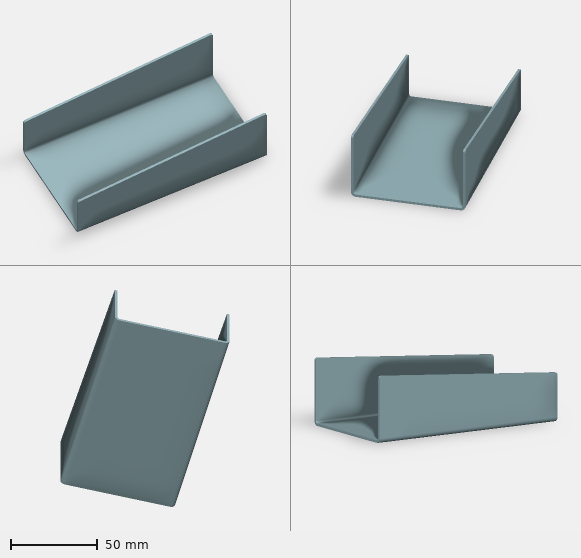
import cadquery as cq
import math

width = 68.5
length = 123.0
height = 39.6

thickness = 1.5
inner_bend_radius = 1.5
outer_bend_radius = inner_bend_radius + thickness

slope_angle = 5.0
corner_radius = 1.5


def channel():
    """U-shaped sheet with rounded bends, running along Y."""
    outer = (
        cq.Workplane("XY")
        .box(width, length, 2 * height, centered=(True, True, False))
        .edges("|Y and <Z")
        .fillet(outer_bend_radius)
    )
    inner = (
        cq.Workplane("XY")
        .workplane(offset=thickness)
        .box(width - 2 * thickness, length, 2 * height, centered=(True, True, False))
        .edges("|Y and <Z")
        .fillet(inner_bend_radius)
    )
    return outer.cut(inner)


def side_outline():
    """Sloped wall outline with rounded top corners, extruded across the width."""
    slope = math.tan(math.radians(slope_angle))
    crest_rise = corner_radius * (1 / math.cos(math.radians(slope_angle)) - 1 + slope)
    high_end = height + crest_rise
    low_end = high_end - length * slope
    return (
        cq.Workplane("YZ")
        .polyline([
            (-length / 2, 0),
            (length / 2, 0),
            (length / 2, high_end),
            (-length / 2, low_end),
        ])
        .close()
        .extrude(width / 2, both=True)
        .edges("|X and (not <Z)")
        .fillet(corner_radius)
    )


result = channel().intersect(side_outline())